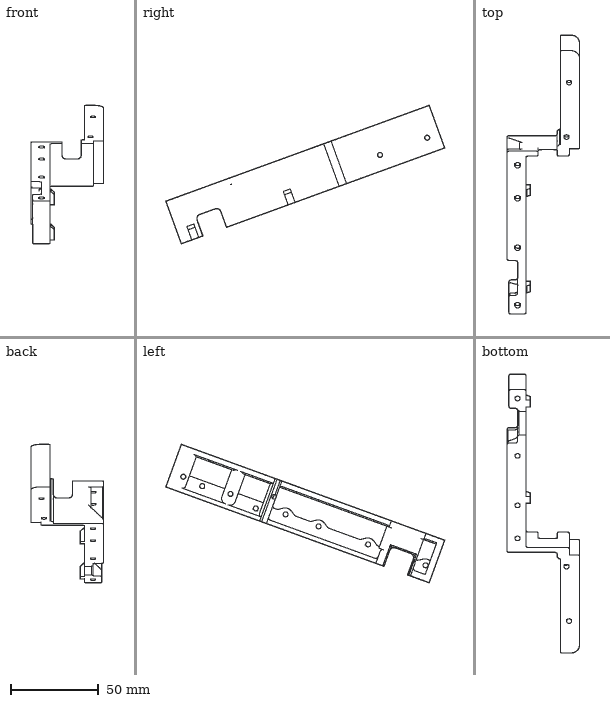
import cadquery as cq
import math

tilt = 20.0
length = 159.7
height = 25.9
width = 41.5
block = 11.0

back_block_end = 59.5
lip_start = 56.9
web_back = 61.0
web_front = 64.0
front_step = 127.3
end_pad_start = 148.3

back_x = width - block
lip_x = 28.7
web_right = 35.7
plate_x = 6.2
end_pad_x = 1.1

ceiling = 3.0
ceiling_bevel = 0.8
ramp_foot = 23.3
front_pocket_depth = 7.1
front_pocket_end = 126.0
front_pocket_exit = 129.0
end_pocket_entry = 146.6
end_pocket_end = 155.9

back_pocket_depth = 8.0
back_pocket_start = 8.9
back_pocket_flare = 1.6
rib_station = 36.0
rib_tip = 1.7
rib_flare = 3.2

relief_reach = 6.1
relief_bend = 4.1
relief_bend_depth = 7.9
relief_crown = 2.3
relief_crown_depth = 9.1
relief_depth = 9.7

front_hole_x = 6.1
front_hole_diameter = 3.3
ramp_hole_diameter = 2.8
ramp_hole_top = 10.0
front_hole_stations = (69.5, 89.5, 119.5, 154.3)
back_hole_diameter = 2.8
back_holes = ((back_x + 5.0, 19.4), (back_x + 3.5, 52.4))

pin_hole_diameter = 2.7
pin_holes = ((7.4, 17.0), (rib_station, 17.0))
lip_hole = (59.9, 10.0)
lip_hole_length = 5.0

notch_left = 17.9
notch_right = lip_x
notch_depth = 10.0
notch_radius = 2.0
notch_rounding = 0.9

plate_notch_start = 132.3
plate_notch_end = 146.5
plate_notch_bevel = 0.8
plate_notch_top = 13.8
plate_notch_radius = 2.5

clip_length = 4.2
clip_height = 8.2
clip_depth = 2.4
clip_bevel = 2.0
clip_stations = (92.8, 151.2)

corner_radius = 1.2
small_radius = 0.8
back_corner_radius = 5.0
step_radius = 1.5
lip_root_radius = 1.4
block_root_radius = 1.0
mouth_radius = 1.5
lip_bevel = 1.2

edge_gap = 0.1
overcut = 1.0


def slab(x0, x1, s0, s1, top=0.0, bottom=height):
    """Box between two X places, two stations and two depths below the top."""
    box = cq.Workplane("XY").box(x1 - x0, s1 - s0, bottom - top, centered=False)
    return box.translate((x0, -s1, -bottom))


def corner_zone(x, station, reach=1.0):
    """Selector for the upright edges close to a place in plan, over the full height."""
    return cq.selectors.BoxSelector((x - reach, -station - reach, -height), (x + reach, -station + reach, 0))


def back_block():
    block_body = slab(back_x, width, 0, back_block_end)
    block_body = block_body.edges("|Z and >Y and >X").fillet(back_corner_radius)
    block_body = block_body.edges("|Z and >Y and <X").fillet(small_radius)
    return block_body.edges("|Z and <Y and >X").fillet(small_radius)


def lip():
    """Upright strip that joins the web to the back block."""
    strip = slab(lip_x, web_right, lip_start, web_front)
    strip = strip.edges("|Z and <X and >Y").chamfer(lip_bevel)
    return strip.edges("|Z and >X and <Y").fillet(corner_radius)


def web():
    plate = slab(0, web_right, web_back, web_front)
    return plate.edges("|Z and >X and <Y").fillet(corner_radius)


def front_block():
    """Front block, thinned to a plate between the step and the end pad."""
    solid = slab(0, block, web_back, front_step)
    solid = solid.union(slab(plate_x, block, front_step, end_pad_start))
    solid = solid.union(slab(end_pad_x, block, end_pad_start, length))
    step_corners = (
        (0, front_step),
        (plate_x, front_step),
        (plate_x, end_pad_start),
        (end_pad_x, end_pad_start),
    )
    for x, station in step_corners:
        solid = solid.edges("|Z").edges(corner_zone(x, station)).fillet(step_radius)
    return solid.edges("|Z and <Y").fillet(corner_radius)


def body():
    solid = back_block().union(lip()).union(web()).union(front_block())
    solid = solid.edges("|Z").edges(corner_zone(lip_x, web_back)).fillet(lip_root_radius)
    return solid.edges("|Z").edges(corner_zone(block, web_front)).fillet(block_root_radius)


def ramp_space(face_x, depth, s0, s1, foot):
    """Space above the 45 degree ramp, from the open face at face_x to the given depth."""
    return (
        cq.Workplane("XZ", origin=(face_x, -s0, 0))
        .moveTo(0, -ceiling)
        .lineTo(ceiling_bevel, -ceiling - ceiling_bevel)
        .lineTo(depth, -ceiling - ceiling_bevel)
        .lineTo(depth, depth - foot)
        .lineTo(0, -foot)
        .close()
        .extrude(s1 - s0)
    )


def back_pocket(s0, s1, flare0, flare1):
    """Pocket of the back block whose end walls round outward at the open face."""
    near = 1 - math.sqrt(0.5)
    far = math.sqrt(0.5)
    plan = (
        cq.Workplane("XY", origin=(back_x, 0, 0))
        .moveTo(0, -s0)
        .threePointArc((flare0 * near, -s0 - flare0 * far), (flare0, -s0 - flare0))
        .lineTo(back_pocket_depth, -s0 - flare0)
        .lineTo(back_pocket_depth, -s1 + flare1)
        .lineTo(flare1, -s1 + flare1)
        .threePointArc((flare1 * near, -s1 + flare1 * far), (0, -s1))
        .close()
        .extrude(-height)
    )
    return plan.intersect(ramp_space(back_x, back_pocket_depth, s0, s1, ramp_foot))


def relief(station):
    """Plan of the widening around one screw hole, from the outer face inward."""
    d = front_pocket_depth
    mid = (relief_reach + relief_bend) / 2
    mid_depth = d + (relief_bend_depth - d) / 4
    return (
        cq.Workplane("XY")
        .moveTo(0, -station + relief_reach)
        .lineTo(d, -station + relief_reach)
        .threePointArc((mid_depth, -station + mid), (relief_bend_depth, -station + relief_bend))
        .lineTo(relief_crown_depth, -station + relief_crown)
        .threePointArc((relief_depth, -station), (relief_crown_depth, -station - relief_crown))
        .lineTo(relief_bend_depth, -station - relief_bend)
        .threePointArc((mid_depth, -station - mid), (d, -station - relief_reach))
        .lineTo(0, -station - relief_reach)
        .close()
        .extrude(-height)
    )


def front_pocket(opening, floor, hole_stations, face_x):
    """Pocket of the front block; opening and floor are (start, end) stations."""
    plan = slab(0, plate_x, *opening).union(slab(0, front_pocket_depth, *floor))
    for station in hole_stations:
        plan = plan.union(relief(station))
    return plan.intersect(ramp_space(face_x, relief_depth - face_x, *opening, ramp_foot - face_x))


def round_pocket_mouth(solid):
    """Round the floor and ramp edges where the long front pocket opens through the web's back face."""
    mouth = cq.selectors.BoxSelector(
        (front_pocket_depth / 2, -web_back - edge_gap, -ramp_foot),
        (front_pocket_depth + edge_gap, -web_back + edge_gap, -ceiling - 2 * ceiling_bevel),
    )
    return solid.edges(mouth).fillet(mouth_radius)


def round_outer_corner(solid):
    """Round the web's outer corner above and below the pocket mouth."""
    return solid.edges("|Z").edges(corner_zone(0, web_back)).fillet(corner_radius)


def z_hole(x, station, diameter, bottom=height):
    """Upright hole from the top face down to the given depth."""
    return cq.Workplane("XY").center(x, -station).circle(diameter / 2).extrude(-bottom)


def x_hole(x, station, depth, hole_length):
    """Hole running from x toward +X."""
    return cq.Workplane("YZ", origin=(x, -station, -depth)).circle(pin_hole_diameter / 2).extrude(hole_length)


def web_notch():
    notch = slab(notch_left, notch_right, web_back - overcut, web_front + overcut, -overcut, notch_depth)
    return notch.edges("|Y and <Z").fillet(notch_radius)


def round_notch(solid):
    """Round both rims of the web notch."""
    tray = cq.selectors.BoxSelector(
        (notch_left - edge_gap, -web_front - edge_gap, -notch_depth - edge_gap),
        (notch_right + edge_gap, -web_back + edge_gap, 0),
    )
    return solid.edges("not |Y").edges(tray).fillet(notch_rounding)


def plate_notch():
    """Notch open at the bottom of the thin plate, with a bevelled rim on the outer face."""
    x0 = plate_x - overcut
    x1 = block + overcut
    notch = slab(x0, x1, plate_notch_start, plate_notch_end, plate_notch_top, height)
    notch = notch.edges("|X and >Z").fillet(plate_notch_radius)
    rim_length = plate_notch_end - plate_notch_start + 2 * plate_notch_bevel
    rim_height = height - plate_notch_top + plate_notch_bevel
    rim = (
        cq.Workplane("YZ", origin=(plate_x, -(plate_notch_start + plate_notch_end) / 2, -height))
        .rect(rim_length, 2 * rim_height)
        .extrude(plate_notch_bevel, taper=45)
    )
    return notch.union(rim)


def clip(station):
    half = clip_length / 2
    hook = slab(block, block + clip_depth, station - half, station + half, height - clip_height)
    return hook.edges("|Y and >X and >Z").chamfer(clip_bevel)


def cut_pockets(solid):
    rib_start = rib_station - rib_tip / 2
    rib_end = rib_station + rib_tip / 2
    solid = solid.cut(back_pocket(back_pocket_start, rib_start, back_pocket_flare, rib_flare))
    solid = solid.cut(back_pocket(rib_end, lip_start, rib_flare, back_pocket_flare))
    long_opening = (web_back, front_pocket_exit)
    long_floor = (web_back, front_pocket_end)
    solid = solid.cut(front_pocket(long_opening, long_floor, front_hole_stations[:-1], 0))
    end_opening = (end_pocket_entry, end_pocket_end)
    end_floor = (end_pad_start, end_pocket_end)
    return solid.cut(front_pocket(end_opening, end_floor, front_hole_stations[-1:], end_pad_x))


def drill(solid):
    for station in front_hole_stations:
        solid = solid.cut(z_hole(front_hole_x, station, front_hole_diameter, ramp_hole_top))
        solid = solid.cut(z_hole(front_hole_x, station, ramp_hole_diameter))
    for x, station in back_holes:
        solid = solid.cut(z_hole(x, station, back_hole_diameter))
    for station, depth in pin_holes:
        solid = solid.cut(x_hole(back_x, station, depth, block))
    return solid.cut(x_hole(lip_x, *lip_hole, lip_hole_length))


part = cut_pockets(body())
part = round_outer_corner(round_pocket_mouth(part))
part = drill(part)
part = round_notch(part.cut(web_notch()))
part = part.cut(plate_notch())
for clip_station in clip_stations:
    part = part.union(clip(clip_station))

result = part.rotate((0, 0, 0), (1, 0, 0), tilt)